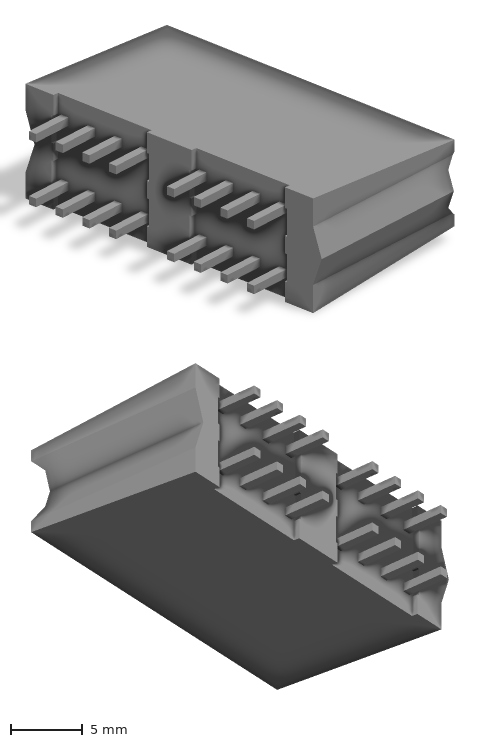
import cadquery as cq

overall_length = 27.6
tongue_height = 0.8
body_length = overall_length - tongue_height
body_depth = 15.0
front_height = 9.0
back_height = 6.8

tongue_width = 4.58
groove_width = 4.97
groove_depth = 0.85

channel_mouth = groove_width
channel_depth = 1.0

recess_spacing = 12.85
recess_width = 8.7
recess_depth = 0.5
notch_reach = 0.18
notch_inner_edge = 0.7
notch_outer_edge = 2.87

pin_size = 0.65
pin_pitch = 2.48
pins_per_row = 4
pin_projection = 2.93
row_spacing = 2 * notch_outer_edge - pin_size
row_heights = (-row_spacing / 2, row_spacing / 2)

left_face = -body_length / 2
right_face = body_length / 2
recess_centers = (-recess_spacing / 2, recess_spacing / 2)


def extrude_along_depth(outline):
    """Extrude an (X, Z) outline from the front face to the back face."""
    return cq.Workplane("XZ").polyline(outline).close().extrude(-body_depth)


def extrude_along_length(outline):
    """Extrude a (Y, Z) outline over the whole length, tongue included."""
    plane = cq.Workplane("YZ", origin=(left_face, 0, 0))
    return plane.polyline(outline).close().extrude(overall_length)


def v_prism(base_x, width, height):
    """Triangular prism with its base on X = base_x, pointing towards +X."""
    return extrude_along_depth([
        (base_x, -width / 2),
        (base_x + height, 0),
        (base_x, width / 2),
    ])


def make_housing():
    wedge = extrude_along_length([
        (0, -front_height / 2),
        (body_depth, -back_height / 2),
        (body_depth, back_height / 2),
        (0, front_height / 2),
    ])
    end_trim = cq.Workplane("XY").box(body_length, 2 * body_depth, front_height)
    body = wedge.intersect(end_trim)
    tongue = v_prism(right_face, tongue_width, tongue_height)
    groove = v_prism(left_face, groove_width, groove_depth)
    return body.union(tongue).cut(groove).cut(make_back_channel())


def make_back_channel():
    floor_y = body_depth - channel_depth
    floor_width = channel_mouth - 2 * channel_depth
    return extrude_along_length([
        (body_depth, -channel_mouth / 2),
        (floor_y, -floor_width / 2),
        (floor_y, floor_width / 2),
        (body_depth, channel_mouth / 2),
    ])


def make_recess(center_x):
    """Full-height recess, widened by a notch on both sides beside each pin row."""
    face = cq.Workplane("XZ", origin=(center_x, 0, 0))
    recess = face.rect(recess_width, front_height).extrude(-recess_depth)
    notch_height = notch_outer_edge - notch_inner_edge
    notch_offset = (notch_outer_edge + notch_inner_edge) / 2
    notches = (
        face.pushPoints([(0, -notch_offset), (0, notch_offset)])
        .rect(recess_width + 2 * notch_reach, notch_height)
        .extrude(-recess_depth)
    )
    return recess.union(notches)


def make_pins(center_x):
    """Pins of one recess, standing on the recess floor."""
    first_x = center_x - pin_pitch * (pins_per_row - 1) / 2
    positions = [
        (first_x + index * pin_pitch, height)
        for index in range(pins_per_row)
        for height in row_heights
    ]
    floor = cq.Workplane("XZ", origin=(0, recess_depth, 0))
    return floor.pushPoints(positions).rect(pin_size, pin_size).extrude(recess_depth + pin_projection)


result = make_housing()
for recess_center in recess_centers:
    result = result.cut(make_recess(recess_center)).union(make_pins(recess_center))